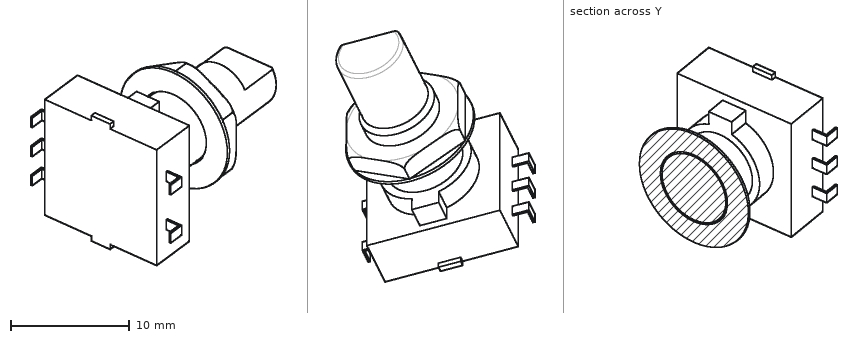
import cadquery as cq
import math


housing_width = 12.0
housing_depth = 4.5
tab_width = 2.0
tab_depth = 0.51
tab_span = 13.0

pin_width = 1.0
pin_thickness = 0.18
pin_height = 1.5
pin_span = 15.0
left_pin_pitch = 3.01
right_pin_pitch = 5.0

collar_diameter = 8.26
collar_end = 6.5
key_width = 2.42
key_span = 10.55

bushing_diameter = 6.76
bushing_end = 13.5

washer_start = 10.05
washer_thickness = 0.3
washer_diameter = 11.5
washer_bore = 7.0
nut_across_flats = 10.02
nut_thickness = 1.89
nut_rounding = 0.72

shaft_diameter = 6.0
shaft_end = 20.5
shaft_tip_radius = 0.29
neck_diameter = 3.0
neck_length = 0.5
flat_height = 1.5
flat_length = 4.0

washer_end = washer_start + washer_thickness
shaft_start = bushing_end + neck_length


def cylinder(diameter, y_start, y_end):
    """Solid cylinder on the Y axis."""
    plane = cq.Workplane("XZ", origin=(0, y_start, 0))
    return plane.circle(diameter / 2).extrude(y_start - y_end)


def block(width, height, y_start, y_end):
    """Rectangular block centred on the Y axis."""
    plane = cq.Workplane("XZ", origin=(0, y_start, 0))
    return plane.rect(width, height).extrude(y_start - y_end)


def make_housing():
    tabs = block(tab_width, tab_span, 0, tab_depth)
    return block(housing_width, housing_width, 0, housing_depth).union(tabs)


def make_pin(side, z):
    """L-shaped terminal on the side of the housing given by the sign of X."""
    inner = side * housing_width / 2
    outer = side * pin_span / 2
    leg_inside = outer - side * pin_thickness
    profile = [
        (inner, pin_height),
        (outer, pin_height),
        (outer, 0),
        (leg_inside, 0),
        (leg_inside, pin_height - pin_thickness),
        (inner, pin_height - pin_thickness),
    ]
    plane = cq.Workplane("XY", origin=(0, 0, z - pin_width / 2))
    return plane.polyline(profile).close().extrude(pin_width)


def make_collar():
    keys = block(key_width, key_span, housing_depth, collar_end)
    return cylinder(collar_diameter, housing_depth, collar_end).union(keys)


def make_washer():
    bore = cylinder(washer_bore, washer_start, washer_end)
    return cylinder(washer_diameter, washer_start, washer_end).cut(bore)


def make_nut():
    """Hexagon with corners on +Z and -Z, rounded off at its outer end."""
    nut_end = washer_end + nut_thickness
    across_corners = nut_across_flats / math.cos(math.pi / 6)
    hexagon = (
        cq.Workplane("XZ", origin=(0, washer_end, 0))
        .transformed(rotate=(0, 0, 90))
        .polygon(6, across_corners)
        .extrude(-nut_thickness)
    )
    envelope = cylinder(across_corners, washer_end, nut_end).faces(">Y").edges().fillet(nut_rounding)
    return hexagon.intersect(envelope)


def make_shaft():
    body = cylinder(shaft_diameter, shaft_start, shaft_end).faces(">Y").edges().fillet(shaft_tip_radius)
    flat_cut = (
        cq.Workplane("XY")
        .box(shaft_diameter, flat_length, shaft_diameter, centered=(True, False, False))
        .translate((0, shaft_end - flat_length, flat_height))
    )
    neck = cylinder(neck_diameter, bushing_end, shaft_start)
    return body.cut(flat_cut).union(neck)


result = make_housing().union(make_collar())
result = result.union(cylinder(bushing_diameter, collar_end, bushing_end))
result = result.union(make_nut()).union(make_washer()).union(make_shaft())

for z in (-left_pin_pitch, 0, left_pin_pitch):
    result = result.union(make_pin(-1, z))
for z in (-right_pin_pitch / 2, right_pin_pitch / 2):
    result = result.union(make_pin(1, z))